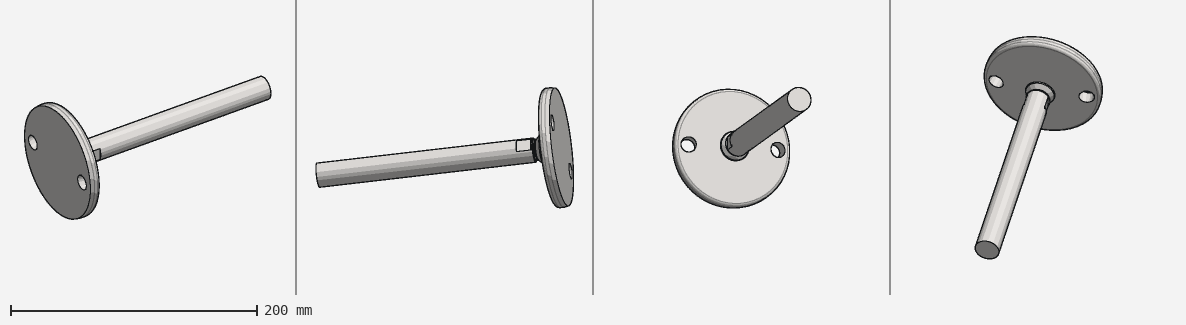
import cadquery as cq
import math


foot_radius = 49.0
foot_bottom_radius = 48.4
draft_height = 3.7
rim_height = 6.7
rim_fillet = 3.0
foot_slope = 9.5

hub_base_radius = 12.3
hub_shoulder_radius = 11.9
hub_shoulder_height = 16.5
dome_top_radius = 8.2
dome_top_height = 20.1
dome_bulge_radius = 14.0

hole_diameter = 12.5
hole_offset = 36.0

stem_radius = 10.0
stem_top = 202.0
stem_bottom = 22.0
stem_chamfer_height = 0.6
stem_chamfer_width = 1.0
neck_radius = 5.5
neck_bottom = 21.8
collar_radius = 8.9
collar_edge_height = 20.7

across_flats = 17.0
flat_length = 12.0
flat_bottom = 23.75


def make_foot():
    slope = math.radians(foot_slope)
    fillet_center_x = foot_radius - rim_fillet

    def fillet_point(angle):
        x = fillet_center_x + rim_fillet * math.cos(angle)
        y = rim_height + rim_fillet * math.sin(angle)
        return x, y

    fillet_sweep = math.pi / 2 - slope
    fillet_end = fillet_point(fillet_sweep)
    hub_base_height = fillet_end[1] + (fillet_end[0] - hub_base_radius) * math.tan(slope)

    profile = (
        cq.Workplane("XY")
        .moveTo(0, 0)
        .lineTo(foot_bottom_radius, 0)
        .lineTo(foot_radius, draft_height)
        .lineTo(foot_radius, rim_height)
        .threePointArc(fillet_point(fillet_sweep / 2), fillet_end)
        .lineTo(hub_base_radius, hub_base_height)
        .lineTo(hub_shoulder_radius, hub_shoulder_height)
        .radiusArc((dome_top_radius, dome_top_height), -dome_bulge_radius)
        .lineTo(0, dome_top_height)
        .close()
    )
    foot = profile.revolve(360, (0, 0, 0), (0, 1, 0))
    for side in (-1, 1):
        foot = foot.cut(mounting_hole(side))
    return foot


def mounting_hole(side):
    """Drill through the foot on one side, leaning outward as it rises."""
    slope = math.radians(foot_slope)
    direction = cq.Vector(side * math.sin(slope), math.cos(slope), 0)
    bottom_center = cq.Vector(side * hole_offset, 0, 0)
    half_length = dome_top_height
    start = bottom_center - direction * half_length
    return cq.Workplane(cq.Solid.makeCylinder(hole_diameter / 2, 2 * half_length, start, direction))


def make_stem():
    profile = (
        cq.Workplane("XY")
        .moveTo(0, dome_top_height)
        .lineTo(dome_top_radius, dome_top_height)
        .lineTo(collar_radius, collar_edge_height)
        .lineTo(neck_radius, neck_bottom)
        .lineTo(neck_radius, stem_bottom)
        .lineTo(stem_radius - stem_chamfer_width, stem_bottom)
        .lineTo(stem_radius, stem_bottom + stem_chamfer_height)
        .lineTo(stem_radius, stem_top)
        .lineTo(0, stem_top)
        .close()
    )
    stem = profile.revolve(360, (0, 0, 0), (0, 1, 0))
    for side in (-1, 1):
        stem = stem.cut(wrench_flat(side))
    return stem


def wrench_flat(side):
    """Block of material removed from one side of the stem."""
    center_x = side * (across_flats / 2 + stem_radius / 2)
    center_y = flat_bottom + flat_length / 2
    return (
        cq.Workplane("XY")
        .box(stem_radius, flat_length, 2 * stem_radius)
        .translate((center_x, center_y, 0))
    )


foot = make_foot()
stem = make_stem()

result = cq.Compound.makeCompound([foot.val(), stem.val()])